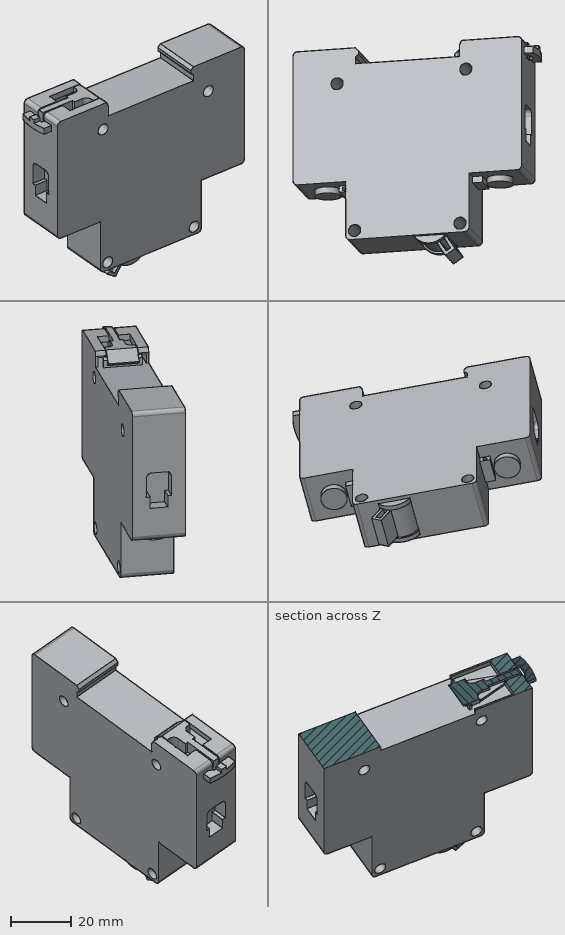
import cadquery as cq


width = 18.0
body_length = 78.1
body_height = 65.8
neck_length = 42.1
neck_height = 20.05
corner_radius = 1.5
neck_front = (body_length - neck_length) / 2
neck_back = neck_front + neck_length

rail_depth = 5.5
rail_floor = body_height - rail_depth
front_foot_length = 21.3
foot_chamfer_run = 0.7
foot_chamfer_drop = 1.6
back_foot_front = 56.8
lip_reach = 1.1
lip_face_top = 1.15
lip_face_bottom = 2.4
lip_bottom = 3.3

rivet_diameter = 4.1
rivet_inset = 3.0
rivet_places = [
    (19.1, 55.8),
    (63.0, 53.85),
    (neck_front + rivet_inset, rivet_inset),
    (neck_back - rivet_inset, rivet_inset),
]

opening_width = 8.5
opening_top = 43.9
opening_step = 35.4
opening_bottom = 31.35
opening_lower_width = 6.0
opening_radius = 1.8
opening_depth = 4.9

cavity_width = 11.0
cavity_front = 7.9
slot_width = 3.3
chamber_width = 16.4
chamber_front = 6.6
chamber_roof = 2.1
clip_head_width = 10.5
clip_nose = 23.9
clip_slope_start = 20.3
clip_nose_edge = 0.4
clip_nose_back_depth = 4.8
clip_head_front = 17.8
clip_neck_width = 4.4
clip_neck_front = 12.3
clip_fillet = 2.05
clip_stem_width = 2.3
shoulder_width = 13.1
shoulder_thickness = 1.1
shoulder_top_drop = 1.9
shoulder_back = front_foot_length + shoulder_thickness
tail_thickness = 0.8
tail_wide = 10.15
tail_narrow = 4.0
foot_length = 1.3

handle_width = 11.45
handle_reach = 3.8
handle_end_reach = 3.0
handle_thickness = 2.3
handle_drop = 2.7
handle_top = body_height - handle_drop
handle_bottom = handle_top - handle_thickness
handle_gap_width = 4.1
handle_gap_depth = 1.2
handle_gap_radius = 2.2
handle_gap_centre = 1.5
boss_height = 1.4

screw_diameter = 8.7
screw_height = 2.1
screw_inset = 9.65
tab_length = 3.4
tab_width = screw_diameter
tab_hole_diameter = 1.2

lever_y = 31.75
lever_z = 4.2
flange_radius = 6.8
drum_radius = 6.1
drum_width = 15.2
flange_thickness = 1.6
paddle_width = 11.0
paddle_reach = 11.7
paddle_thickness = 3.9
paddle_wall = 1.1
paddle_tilt = 33.5


def box(x_size, y_start, y_end, z_start, z_end):
    """A block centred on X = 0 between the given Y and Z limits."""
    size_y = y_end - y_start
    size_z = z_end - z_start
    block = cq.Workplane("XY").box(x_size, size_y, size_z, centered=(True, False, False))
    return block.translate((0, y_start, z_start))


def across(x_size):
    """A YZ sketch plane whose extrusion by x_size is centred on X = 0."""
    return cq.Workplane("YZ", origin=(-x_size / 2, 0, 0))


def make_housing_block():
    body = box(width, 0, body_length, neck_height, body_height).edges("|X").fillet(corner_radius)
    neck = box(width, neck_front, neck_back, 0, body_height / 2).edges("|X and <Z").fillet(corner_radius)
    return body.union(neck)


def make_rail_recess():
    lip_front = back_foot_front - lip_reach
    return (
        across(width)
        .moveTo(front_foot_length, rail_floor)
        .lineTo(back_foot_front, rail_floor)
        .lineTo(back_foot_front, body_height - lip_bottom)
        .lineTo(lip_front, body_height - lip_face_bottom)
        .lineTo(lip_front, body_height - lip_face_top)
        .lineTo(back_foot_front, body_height)
        .lineTo(front_foot_length - foot_chamfer_run, body_height)
        .lineTo(front_foot_length, body_height - foot_chamfer_drop)
        .close()
        .extrude(width)
    )


def make_rivet_holes():
    return across(width).pushPoints(rivet_places).circle(rivet_diameter / 2).extrude(width)


def make_wire_opening():
    """Stepped opening running back from the front face."""
    upper = box(opening_width, 0, opening_depth, opening_step, opening_top)
    upper = upper.edges("|Y and >Z").fillet(opening_radius)
    lower = box(opening_lower_width, 0, opening_depth, opening_bottom, opening_step)
    return upper.union(lower)


def make_clip_cavity():
    """Narrow opening and slot through the top, widening into a chamber below a thin roof."""
    cavity = box(cavity_width, cavity_front, front_foot_length, rail_floor, body_height)
    slot = box(slot_width, 0, cavity_front, rail_floor, body_height)
    chamber = box(chamber_width, chamber_front, front_foot_length, rail_floor, body_height - chamber_roof)
    return cavity.union(slot).union(chamber)


def make_lever_disc(radius, x_size):
    return across(x_size).center(lever_y, lever_z).circle(radius).extrude(x_size)


def make_housing():
    front_opening = make_wire_opening()
    back_opening = front_opening.mirror("XZ").translate((0, body_length, 0))
    return (
        make_housing_block()
        .cut(make_rail_recess())
        .cut(make_rivet_holes())
        .cut(front_opening)
        .cut(back_opening)
        .cut(make_clip_cavity())
        .cut(make_lever_disc(flange_radius, drum_width))
    )


def make_clip():
    nose_drop = clip_nose - clip_slope_start
    head_profile = [
        (clip_head_front, rail_floor),
        (shoulder_back, rail_floor),
        (shoulder_back, body_height - clip_nose_back_depth),
        (clip_nose, body_height - nose_drop - clip_nose_edge),
        (clip_nose, body_height - nose_drop),
        (clip_slope_start, body_height),
        (clip_head_front, body_height),
    ]
    head = across(clip_head_width).polyline(head_profile).close().extrude(clip_head_width)
    neck = box(clip_neck_width, clip_neck_front, clip_head_front, rail_floor, body_height)
    root = cq.selectors.BoxSelector(
        (-clip_neck_width, clip_head_front - clip_fillet, rail_floor),
        (clip_neck_width, clip_head_front + clip_fillet, body_height),
    )
    clip = head.union(neck).edges("|Z").edges(root).fillet(clip_fillet)
    stem = box(clip_stem_width, 0, clip_neck_front, rail_floor, body_height)

    shoulder_front_top = body_height - shoulder_top_drop
    shoulder_profile = [
        (front_foot_length, rail_floor),
        (shoulder_back, rail_floor),
        (shoulder_back, shoulder_front_top - shoulder_thickness),
        (front_foot_length, shoulder_front_top),
    ]
    shoulder = across(shoulder_width).polyline(shoulder_profile).close().extrude(shoulder_width)

    tail_outline = [
        (-tail_wide / 2, clip_head_front),
        (-tail_narrow / 2, chamber_front),
        (tail_narrow / 2, chamber_front),
        (tail_wide / 2, clip_head_front),
    ]
    chamber_floor = cq.Workplane("XY", origin=(0, 0, rail_floor))
    tail = chamber_floor.polyline(tail_outline).close().extrude(tail_thickness)
    stem_foot = box(slot_width, 0, foot_length, handle_bottom, handle_top)
    return clip.union(stem).union(shoulder).union(tail).union(stem_foot)


def make_handle_blank(height):
    half = handle_width / 2
    return (
        cq.Workplane("XY", origin=(0, 0, handle_bottom))
        .moveTo(-half, 0)
        .lineTo(-half, -handle_end_reach)
        .threePointArc((0, -handle_reach), (half, -handle_end_reach))
        .lineTo(half, 0)
        .close()
        .extrude(height)
    )


def make_handle():
    """Curved grip touching the front face at both ends, with a boss on top of its middle."""
    boss_top = handle_top + boss_height
    boss_zone = box(clip_stem_width, -handle_reach, -handle_gap_depth, handle_bottom, boss_top)
    boss = make_handle_blank(handle_thickness + boss_height).intersect(boss_zone)
    gap = box(handle_gap_width, -handle_gap_depth, 0, handle_bottom, handle_top)
    gap_ends = (
        cq.Workplane("XY", origin=(0, 0, handle_bottom))
        .pushPoints([(side * handle_gap_width / 2, handle_gap_centre) for side in (-1, 1)])
        .circle(handle_gap_radius)
        .extrude(handle_thickness)
    )
    return make_handle_blank(handle_thickness).cut(gap).cut(gap_ends).union(boss)


def make_screw(y):
    face = cq.Workplane("XY", origin=(0, y, neck_height - screw_height))
    return face.circle(screw_diameter / 2).extrude(screw_height)


def make_tab(y_start):
    return box(tab_width, y_start, y_start + tab_length, neck_height - screw_height, neck_height)


def make_sealing_tab(y_start):
    """Tab with a cross hole for a sealing wire."""
    hole_place = (y_start + tab_length / 2, neck_height - screw_height / 2)
    hole_axis = across(tab_width).pushPoints([hole_place])
    hole = hole_axis.circle(tab_hole_diameter / 2).extrude(tab_width)
    return make_tab(y_start).cut(hole)


def make_lever():
    drum = make_lever_disc(drum_radius, drum_width)
    flange_shift = (drum_width - flange_thickness) / 2
    for side in (-1, 1):
        flange = make_lever_disc(flange_radius, flange_thickness)
        drum = drum.union(flange.translate((side * flange_shift, 0, 0)))

    half = paddle_thickness / 2
    inner_half = half - paddle_wall
    window_end = paddle_wall - paddle_reach
    paddle = box(paddle_width, -half, half, -paddle_reach, 0)
    window = box(paddle_width, -inner_half, inner_half, window_end, 0)
    paddle = paddle.cut(window).rotate((0, 0, 0), (1, 0, 0), -paddle_tilt)
    return drum.union(paddle.translate((0, lever_y, lever_z)))


housing = make_housing()
clip = make_clip()
handle = make_handle()
lever = make_lever()
screws = [make_screw(y) for y in (screw_inset, body_length - screw_inset)]
front_tab = make_tab(neck_front - tab_length)
back_tab = make_sealing_tab(neck_back)

result = cq.Compound.makeCompound(
    [housing.val(), clip.val(), handle.val(), lever.val(), front_tab.val(), back_tab.val()]
    + [screw.val() for screw in screws]
)